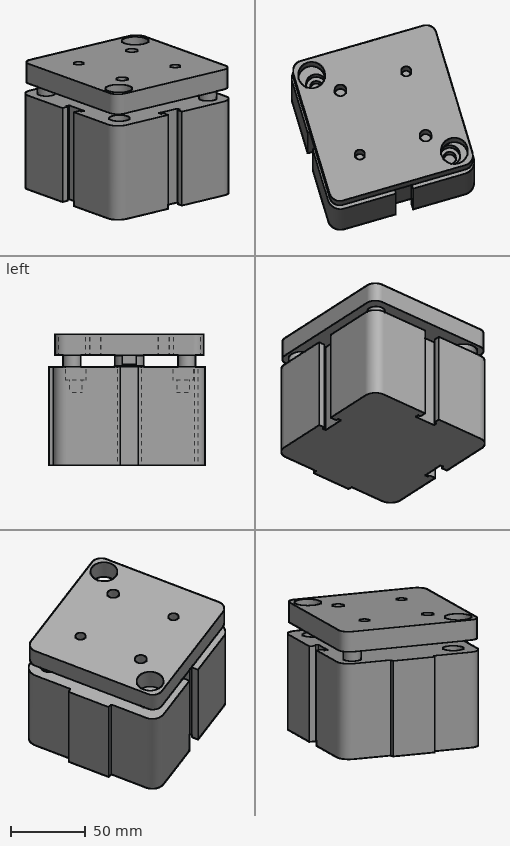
import cadquery as cq

HOUSING_SIDE = 102.0
HOUSING_HEIGHT = 66.0
HOUSING_CORNER_RADIUS = 8.6
HALF_HOUSING = HOUSING_SIDE / 2

OVERALL_DEPTH = 105.0
RAIL_HEIGHT = OVERALL_DEPTH - HOUSING_SIDE
RAIL_BASE_WIDTH = 31.5
RAIL_TOP_WIDTH = 30.5

SLOT_MOUTH_WIDTH = 12.0
SLOT_INNER_WIDTH = 16.0
SLOT_DEPTH = 7.4
SLOT_LIP_THICKNESS = 5.0
SLOT_LIP_RADIUS = 0.9

MOUNT_OFFSET = 36.0
MOUNT_HOLE_DIAMETER = 8.5
MOUNT_BORE_DIAMETER = 14.0
MOUNT_BORE_DEPTH = 8.5
MOUNT_HOLE_DEPTH = 17.0

ROD_DIAMETER = 19.5
COLLAR_DIAMETER = 20.0
COLLAR_HEIGHT = 0.9
COLLAR_BEVEL_HEIGHT = 0.4
COLLAR_BEVEL_WIDTH = (COLLAR_DIAMETER - ROD_DIAMETER) / 2

PLATE_SIDE = 100.0
PLATE_THICKNESS = 14.0
PLATE_CORNER_RADIUS = 7.0
PLATE_GAP = 8.0
PLATE_BOTTOM = HOUSING_HEIGHT + PLATE_GAP

ROD_FLATS_WIDTH = 17.0
ROD_FLATS_CLEARANCE = 1.8
ROD_FLATS_BOTTOM = HOUSING_HEIGHT + ROD_FLATS_CLEARANCE
ROD_TOP_CHAMFER = 0.4

CORNER_OFFSET = 38.5
GUIDE_ROD_DIAMETER = 12.0
ACCESS_HOLE_DIAMETER = 18.1

PLATE_HOLE_OFFSET = 23.0
LARGE_HOLE_DIAMETER = 8.0
SMALL_HOLE_DIAMETER = 6.8


def rising_diagonal(offset):
    """Points in the (-X, -Y) and (+X, +Y) quadrants."""
    return [(-offset, -offset), (offset, offset)]


def falling_diagonal(offset):
    """Points in the (-X, +Y) and (+X, -Y) quadrants."""
    return [(-offset, offset), (offset, -offset)]


def rounded_block(side, height, corner_radius, bottom):
    """Square block with rounded vertical edges."""
    block = cq.Workplane("XY", origin=(0, 0, bottom)).rect(side, side).extrude(height)
    return block.edges("|Z").fillet(corner_radius)


def make_rail():
    """Full-height rail on the +Y side, narrowing slightly outward."""
    half_base = RAIL_BASE_WIDTH / 2
    half_top = RAIL_TOP_WIDTH / 2
    outer = HALF_HOUSING + RAIL_HEIGHT
    outline = [
        (-half_base, HALF_HOUSING),
        (half_base, HALF_HOUSING),
        (half_top, outer),
        (-half_top, outer),
    ]
    return cq.Workplane("XY").polyline(outline).close().extrude(HOUSING_HEIGHT)


def make_slot_cutter():
    """Full-height T-slot volume for the -Y side."""
    half_mouth = SLOT_MOUTH_WIDTH / 2
    half_inner = SLOT_INNER_WIDTH / 2
    profile = (
        cq.Workplane("XY", origin=(0, -HALF_HOUSING, 0))
        .lineTo(half_mouth, 0)
        .lineTo(half_mouth, SLOT_LIP_THICKNESS - SLOT_LIP_RADIUS)
        .radiusArc((half_mouth + SLOT_LIP_RADIUS, SLOT_LIP_THICKNESS), SLOT_LIP_RADIUS)
        .lineTo(half_inner, SLOT_LIP_THICKNESS)
        .lineTo(half_inner, SLOT_DEPTH)
        .lineTo(0, SLOT_DEPTH)
        .mirrorY()
    )
    return profile.extrude(HOUSING_HEIGHT)


def make_collar():
    """Low disc with a bevelled rim that the piston rod stands on."""
    collar = cq.Workplane("XY", origin=(0, 0, HOUSING_HEIGHT)).circle(COLLAR_DIAMETER / 2)
    return collar.extrude(COLLAR_HEIGHT).faces(">Z").chamfer(COLLAR_BEVEL_HEIGHT, COLLAR_BEVEL_WIDTH)


def make_housing():
    """Slotted housing with its rail, mounting holes and collar."""
    housing = rounded_block(HOUSING_SIDE, HOUSING_HEIGHT, HOUSING_CORNER_RADIUS, 0)
    housing = housing.union(make_rail())

    for turn in (-90, 0, 90):
        housing = housing.cut(make_slot_cutter().rotate((0, 0, 0), (0, 0, 1), turn))

    top = cq.Workplane("XY", origin=(0, 0, HOUSING_HEIGHT)).pushPoints(falling_diagonal(MOUNT_OFFSET))
    housing = housing.cut(top.circle(MOUNT_HOLE_DIAMETER / 2).extrude(-MOUNT_HOLE_DEPTH))
    housing = housing.cut(top.circle(MOUNT_BORE_DIAMETER / 2).extrude(-MOUNT_BORE_DEPTH))
    return housing.union(make_collar())


def make_piston_rod():
    """Rod from the collar to the plate, with two wrench flats and a bevelled upper end."""
    bottom = HOUSING_HEIGHT + COLLAR_HEIGHT
    rod = cq.Workplane("XY", origin=(0, 0, bottom)).circle(ROD_DIAMETER / 2)
    rod = rod.extrude(PLATE_BOTTOM - bottom).faces(">Z").chamfer(ROD_TOP_CHAMFER)
    flats = (
        cq.Workplane("XY", origin=(0, 0, ROD_FLATS_BOTTOM))
        .rect(2 * ROD_DIAMETER, ROD_DIAMETER)
        .rect(ROD_FLATS_WIDTH, ROD_DIAMETER)
        .extrude(PLATE_BOTTOM - ROD_FLATS_BOTTOM)
    )
    return rod.cut(flats)


def make_guide_rods():
    """Two rods between the housing top and the plate."""
    base = cq.Workplane("XY", origin=(0, 0, HOUSING_HEIGHT)).pushPoints(rising_diagonal(CORNER_OFFSET))
    return base.circle(GUIDE_ROD_DIAMETER / 2).extrude(PLATE_GAP)


def make_moving_plate():
    """Drilled plate together with its guide rods and piston rod."""
    plate = rounded_block(PLATE_SIDE, PLATE_THICKNESS, PLATE_CORNER_RADIUS, PLATE_BOTTOM)
    hole_pairs = [
        (falling_diagonal(CORNER_OFFSET), ACCESS_HOLE_DIAMETER),
        (falling_diagonal(PLATE_HOLE_OFFSET), LARGE_HOLE_DIAMETER),
        (rising_diagonal(PLATE_HOLE_OFFSET), SMALL_HOLE_DIAMETER),
    ]
    for centers, diameter in hole_pairs:
        holes = cq.Workplane("XY", origin=(0, 0, PLATE_BOTTOM)).pushPoints(centers)
        plate = plate.cut(holes.circle(diameter / 2).extrude(PLATE_THICKNESS))
    return plate.union(make_guide_rods()).union(make_piston_rod())


housing = make_housing()
moving_plate = make_moving_plate()

result = cq.Compound.makeCompound([housing.solids().val(), moving_plate.solids().val()])